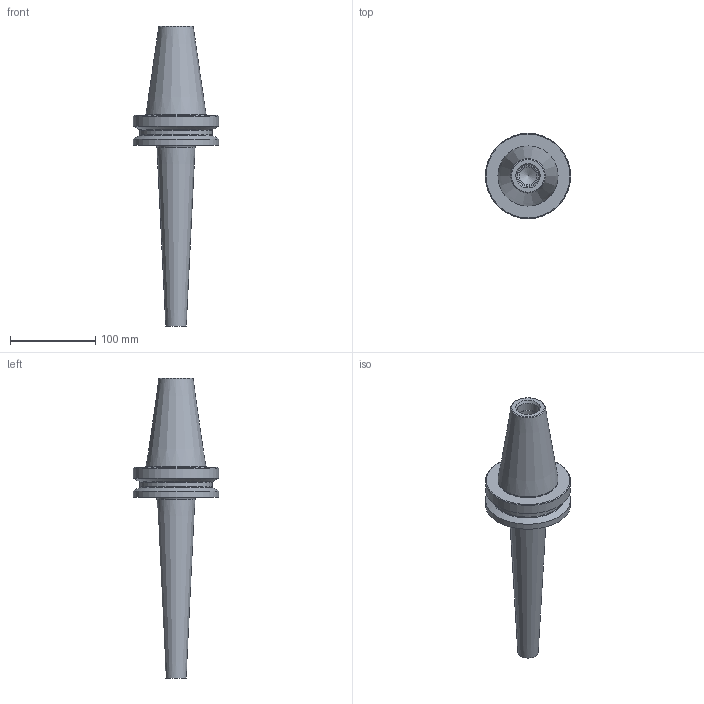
import cadquery as cq
import math


GAUGE_RADIUS = 69.85 / 2
TAPER_LENGTH = 101.8
TAPER_RATIO = 7 / 24
TAPER_END_CHAMFER_HEIGHT = 0.6
TAPER_END_CHAMFER_WIDTH = 1.0
COLLAR_HEIGHT = 1.0

FLANGE_RADIUS = 100 / 2
FLANGE_TOP = -3.0
FLANGE_BOTTOM = -38.0
FLANGE_CHAMFER = 0.8
GROOVE_CENTRE = -23.2
GROOVE_FLOOR_RADIUS = 85 / 2
GROOVE_FLOOR_WIDTH = 6.5
GROOVE_FLOOR_FILLET = 1.0
GROOVE_FLANK_ANGLE = math.radians(30)
GROOVE_FLANK_HEIGHT = (FLANGE_RADIUS - GROOVE_FLOOR_RADIUS) * math.tan(GROOVE_FLANK_ANGLE)

NOSE_TIP = -250.0
NOSE_TIP_RADIUS = 24 / 2
NOSE_ROOT_RADIUS = 44.6 / 2
ROOT_FILLET = 3.0

MOUTH_RADIUS = 28.5 / 2
MOUTH_ANGLE = math.radians(30)
BORE_RADIUS = 25 / 2
BORE_DEPTH = 13.0
THREAD_RADIUS = 24 / 2
THREAD_DEPTH = 45.0
DRILL_RADIUS = 21 / 2
DRILL_DEPTH = 60.0
DRILL_HALF_ANGLE = math.radians(59)


def revolve_about_z(profile):
    """Turn a closed profile drawn in the XZ plane about the Z axis."""
    return profile.close().revolve(360, (0, 0, 0), (0, 1, 0))


def taper_radius(height):
    """Radius of the taper at a height above the gauge plane."""
    return GAUGE_RADIUS - TAPER_RATIO * height / 2


def taper_shank():
    chamfer_bottom = TAPER_LENGTH - TAPER_END_CHAMFER_HEIGHT
    chamfer_radius = taper_radius(chamfer_bottom)
    collar_top = FLANGE_TOP + COLLAR_HEIGHT
    collar_radius = taper_radius(collar_top)
    profile = (
        cq.Workplane("XZ")
        .moveTo(0, TAPER_LENGTH)
        .lineTo(chamfer_radius - TAPER_END_CHAMFER_WIDTH, TAPER_LENGTH)
        .lineTo(chamfer_radius, chamfer_bottom)
        .lineTo(collar_radius, collar_top)
        .lineTo(collar_radius, FLANGE_TOP)
        .lineTo(0, FLANGE_TOP)
    )
    return revolve_about_z(profile)


def grooved_flange():
    floor_top = GROOVE_CENTRE + GROOVE_FLOOR_WIDTH / 2
    floor_bottom = GROOVE_CENTRE - GROOVE_FLOOR_WIDTH / 2
    profile = (
        cq.Workplane("XZ")
        .moveTo(0, FLANGE_TOP)
        .lineTo(FLANGE_RADIUS - FLANGE_CHAMFER, FLANGE_TOP)
        .lineTo(FLANGE_RADIUS, FLANGE_TOP - FLANGE_CHAMFER)
        .lineTo(FLANGE_RADIUS, floor_top + GROOVE_FLANK_HEIGHT)
        .lineTo(GROOVE_FLOOR_RADIUS, floor_top)
        .lineTo(GROOVE_FLOOR_RADIUS, floor_bottom)
        .lineTo(FLANGE_RADIUS, floor_bottom - GROOVE_FLANK_HEIGHT)
        .lineTo(FLANGE_RADIUS, FLANGE_BOTTOM)
        .lineTo(0, FLANGE_BOTTOM)
    )
    floor_edges = cq.selectors.RadiusNthSelector(0)
    return revolve_about_z(profile).edges("%CIRCLE").edges(floor_edges).fillet(GROOVE_FLOOR_FILLET)


def tapered_nose():
    """Cone from the flange to the tip, with a concave fillet at its root."""
    root_end = FLANGE_BOTTOM - ROOT_FILLET
    profile = (
        cq.Workplane("XZ")
        .moveTo(0, FLANGE_BOTTOM)
        .lineTo(NOSE_ROOT_RADIUS + ROOT_FILLET, FLANGE_BOTTOM)
        .radiusArc((NOSE_ROOT_RADIUS, root_end), -ROOT_FILLET)
        .lineTo(NOSE_TIP_RADIUS, NOSE_TIP)
        .lineTo(0, NOSE_TIP)
    )
    return revolve_about_z(profile)


def drawbar_hole():
    """Conical mouth, bore, plain thread hole and a deeper drilled hole with a pointed bottom."""
    mouth_end = TAPER_LENGTH - (MOUTH_RADIUS - BORE_RADIUS) / math.tan(MOUTH_ANGLE)
    bore_end = TAPER_LENGTH - BORE_DEPTH
    thread_end = TAPER_LENGTH - THREAD_DEPTH
    drill_start = thread_end - (THREAD_RADIUS - DRILL_RADIUS) / math.tan(DRILL_HALF_ANGLE)
    drill_end = TAPER_LENGTH - DRILL_DEPTH
    drill_point = drill_end - DRILL_RADIUS / math.tan(DRILL_HALF_ANGLE)
    profile = (
        cq.Workplane("XZ")
        .moveTo(0, TAPER_LENGTH)
        .lineTo(MOUTH_RADIUS, TAPER_LENGTH)
        .lineTo(BORE_RADIUS, mouth_end)
        .lineTo(BORE_RADIUS, bore_end)
        .lineTo(THREAD_RADIUS, bore_end)
        .lineTo(THREAD_RADIUS, thread_end)
        .lineTo(DRILL_RADIUS, drill_start)
        .lineTo(DRILL_RADIUS, drill_end)
        .lineTo(0, drill_point)
    )
    return revolve_about_z(profile)


holder = taper_shank().union(grooved_flange()).union(tapered_nose())
result = holder.cut(drawbar_hole())